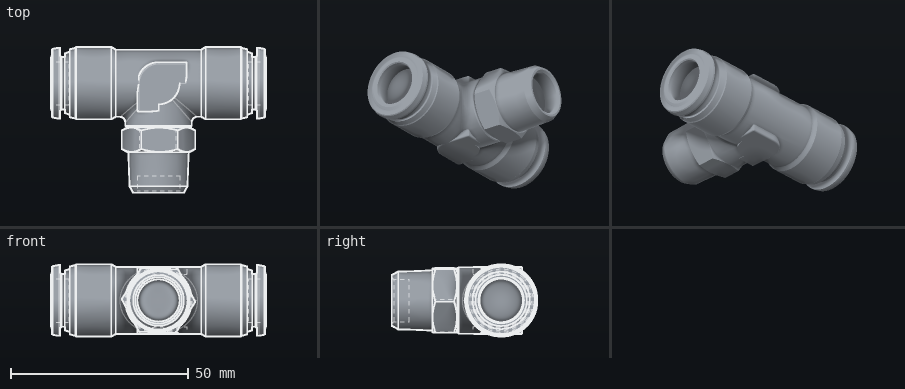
import cadquery as cq
import math

run_half = 30.4
body_r = 9.5
socket_r = 20.5 / 2
socket_taper_start = 12.05
socket_inner_end = 13.3
socket_outer_end = 23.15

cap_edge_x = 23.45
cap_edge_r = 10.05
cap_step_x = 25.1
cap_outer_r = 9.6
cap_inner_r = 8.95
cap_face_x = 26.45
cap_face_r = 8.45

neck_r = 7.5
neck_flare_x = 27.35
neck_flare_r = 7.7
flange_back_x = 27.8
flange_edge_x = 28.35
flange_r = 10.05
flange_front_x = 29.85
flange_front_r = 9.7
flange_face_x = 30.1
flange_face_r = 9.5
lip_base_r = 8.1
lip_r = 7.25

hose_bore_r = 6.15
hose_bore_depth = 5.05
hose_bore_chamfer = 0.3

branch_r = 9.4
branch_end = 12.2
branch_chamfer = 0.25
branch_fillet = 1.5
spacer_r = 8.2

nut_start = 12.45
nut_end = 19.45
nut_sides = 6
nut_across_flats = 18.0
nut_turn = 2.0
nut_chamfer_angle = 30.0
nut_face_r = 8.9

stud_length = 41.2 - socket_r
stud_chamfer_start = 29.1
stud_root_r = 8.6
stud_tip_r = 8.2
stud_end_r = 7.2
stud_bore_r = 5.95
stud_bore_mouth_r = 6.55
stud_bore_mouth_depth = 0.6
stud_bore_depth = 4.85

pad_height = body_r
pad_half_width = 5.95
pad_reach = 8.0
pad_edge_fillet = 0.4


def revolve_x(profile):
    """Revolve (x, radius) points, closed along the axis, about the X axis."""
    points = [(profile[0][0], 0), *profile, (profile[-1][0], 0)]
    return cq.Workplane("XY").polyline(points).close().revolve(360, (0, 0, 0), (1, 0, 0))


def revolve_branch(profile):
    """Revolve (distance, radius) points about the branch axis, toward -Y."""
    return revolve_x(profile).rotate((0, 0, 0), (0, 0, 1), -90)


def both_ends(solid):
    """Join a solid with its mirror image at the other end of the run."""
    return solid.union(solid.mirror("YZ"))


def make_body():
    run = cq.Workplane("YZ").circle(body_r).extrude(socket_inner_end, both=True)
    branch = cq.Workplane("XZ").circle(branch_r).extrude(branch_end)
    tee = run.union(branch)
    joint_box = cq.selectors.BoxSelector((-body_r, -body_r, -body_r), (body_r, 0, body_r))
    joint = tee.edges(joint_box)
    return joint.fillet(branch_fillet).faces("<Y").edges().chamfer(branch_chamfer)


def make_socket():
    return revolve_x([
        (socket_taper_start, body_r),
        (socket_inner_end, socket_r),
        (socket_outer_end, socket_r),
        (cap_edge_x, cap_edge_r),
        (cap_step_x, cap_outer_r),
        (cap_step_x, cap_inner_r),
        (cap_face_x, cap_face_r),
        (cap_face_x, neck_r),
        (neck_flare_x, neck_r),
        (flange_back_x, neck_flare_r),
        (flange_back_x, flange_r),
        (flange_edge_x, flange_r),
        (flange_front_x, flange_front_r),
        (flange_face_x, flange_face_r),
        (flange_face_x, lip_base_r),
        (run_half, lip_r),
    ])


def make_hose_bore():
    return revolve_x([
        (run_half - hose_bore_depth, hose_bore_r),
        (run_half - hose_bore_chamfer, hose_bore_r),
        (run_half, hose_bore_r + hose_bore_chamfer),
    ])


def make_nut():
    corner_r = nut_across_flats / 2 / math.cos(math.pi / nut_sides)
    chamfer_drop = (corner_r - nut_face_r) * math.tan(math.radians(nut_chamfer_angle))
    hexagon = (
        cq.Workplane("XZ", origin=(0, -nut_start, 0))
        .polygon(nut_sides, 2 * corner_r)
        .extrude(nut_end - nut_start)
        .rotate((0, 0, 0), (0, 1, 0), nut_turn)
    )
    envelope = revolve_branch([
        (nut_start, nut_face_r),
        (nut_start + chamfer_drop, corner_r),
        (nut_end - chamfer_drop, corner_r),
        (nut_end, nut_face_r),
    ])
    return hexagon.intersect(envelope)


def make_stud():
    return revolve_branch([
        (branch_end, spacer_r),
        (nut_start, spacer_r),
        (nut_end, stud_root_r),
        (stud_chamfer_start, stud_tip_r),
        (stud_length, stud_end_r),
    ])


def make_stud_bore():
    return revolve_branch([
        (stud_length - stud_bore_depth, stud_bore_r),
        (stud_length - stud_bore_mouth_depth, stud_bore_r),
        (stud_length, stud_bore_mouth_r),
    ])


def make_pads():
    """One block through the body whose flat ends are the pads."""
    side = pad_half_width
    block = (
        cq.Workplane("XY")
        .moveTo(-side, 0)
        .lineTo(-side, -pad_reach)
        .lineTo(pad_reach, -pad_reach)
        .lineTo(pad_reach, side)
        .lineTo(0, side)
        .radiusArc((-side, 0), -side)
        .close()
        .extrude(pad_height, both=True)
        .edges("|Z and (<Y or >X)").fillet(pad_edge_fillet)
        .faces("|Z").edges().fillet(pad_edge_fillet)
    )
    cut_size = 2 * pad_reach
    corner = (
        cq.Workplane("XY")
        .rect(cut_size, -cut_size, centered=False)
        .extrude(cut_size, both=True)
        .cut(cq.Workplane("XY").circle(side).extrude(cut_size, both=True))
    )
    return block.cut(corner)


result = (
    make_body()
    .union(make_pads())
    .union(both_ends(make_socket()))
    .union(make_nut())
    .union(make_stud())
    .cut(both_ends(make_hose_bore()))
    .cut(make_stud_bore())
)